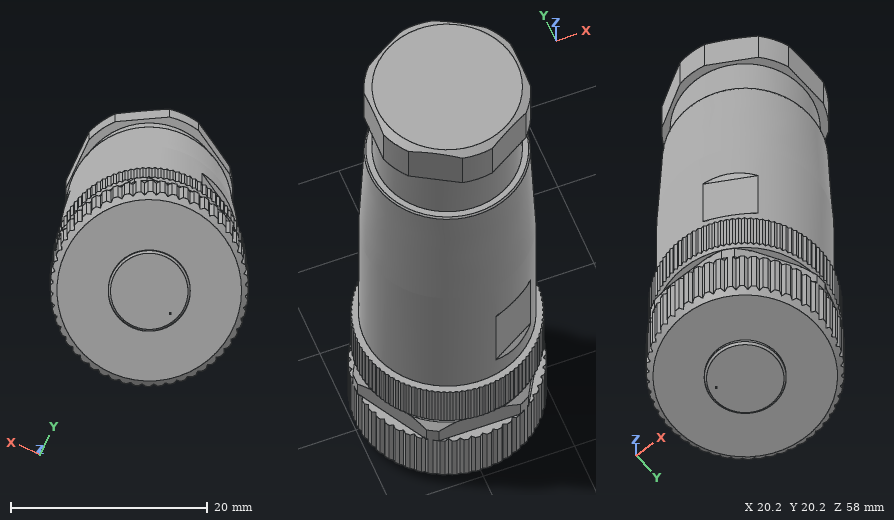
import cadquery as cq
import math

TOTAL_LENGTH = 58.0

PLUG_BOTTOM = 0.2
NUT_BOTTOM = 0.75
HEX_BOTTOM = 7.7
NUT_TOP = 10.15
RING_BOTTOM = 10.75
RING_TOP = 16.3
TAPER_START = 32.55
BODY_TOP = 46.5
CAP_BOTTOM = 53.0

PLUG_RADIUS = 4.2
NUT_RADIUS = 10.1
COLLAR_RADIUS = 6.85
RING_RADIUS = 9.85
BODY_RADIUS = 9.05
BODY_TOP_RADIUS = 8.45
NECK_RADIUS = 7.65
CAP_RADIUS = 8.5

NUT_HEX_INRADIUS = 9.05
CAP_HEX_INRADIUS = 8.05

PLUG_CHAMFER = 0.25
NUT_CHAMFER = 0.7
RING_CHAMFER = 0.4
BODY_CHAMFER = 0.2
CAP_CHAMFER_WIDTH = 0.85
CAP_CHAMFER_HEIGHT = 0.45

NUT_GROOVES = 52
NUT_GROOVE_DEPTH = 0.3
NUT_GROOVE_WIDTH = 0.7
RING_GROOVES = 100
RING_GROOVE_DEPTH = 0.145

FLAT_DISTANCE = 8.6
FLAT_BOTTOM = 18.95
FLAT_TOP = 26.9
FLAT_ANGLE = 30.0

NUB_RADIUS = 0.085
NUB_X = -2.9
NUB_Y = -1.15


def disc(radius, bottom, top):
    return cq.Workplane("XY").workplane(offset=bottom).circle(radius).extrude(top - bottom)


def hexagon(inradius, bottom, top):
    """Hexagonal prism with two corners on the X axis."""
    corner_diameter = 2 * inradius / math.cos(math.radians(30))
    return cq.Workplane("XY").workplane(offset=bottom).polygon(6, corner_diameter).extrude(top - bottom)


def rim_point(radius, angle):
    return (radius * math.cos(angle), radius * math.sin(angle))


def flat_topped_knurl(radius, bottom, top, grooves, width, depth):
    """Disc with evenly spaced V grooves along the axis and round lands between them."""
    pitch = 2 * math.pi / grooves
    half_groove = width / radius / 2
    outline = cq.Workplane("XY").workplane(offset=bottom).moveTo(*rim_point(radius, half_groove))
    for i in range(grooves):
        start = i * pitch
        end = start + pitch
        land_middle = rim_point(radius, start + pitch / 2)
        land_end = rim_point(radius, end - half_groove)
        outline = outline.threePointArc(land_middle, land_end)
        outline = outline.lineTo(*rim_point(radius - depth, end))
        if i < grooves - 1:
            outline = outline.lineTo(*rim_point(radius, end + half_groove))
    return outline.close().extrude(top - bottom)


def sharp_knurl(radius, bottom, top, grooves, depth):
    """Disc with V grooves along the axis that meet in sharp ridges."""
    pitch = 2 * math.pi / grooves
    points = []
    for i in range(grooves):
        points.append(rim_point(radius, i * pitch))
        points.append(rim_point(radius - depth, (i + 0.5) * pitch))
    return cq.Workplane("XY").workplane(offset=bottom).polyline(points).close().extrude(top - bottom)


def make_plug():
    return disc(PLUG_RADIUS, PLUG_BOTTOM, NUT_BOTTOM).faces("<Z").chamfer(PLUG_CHAMFER)


def make_nub():
    return disc(NUB_RADIUS, 0, NUT_BOTTOM).translate((NUB_X, NUB_Y, 0))


def make_coupling_nut():
    knurl = flat_topped_knurl(
        NUT_RADIUS, NUT_BOTTOM, HEX_BOTTOM, NUT_GROOVES, NUT_GROOVE_WIDTH, NUT_GROOVE_DEPTH
    )
    chamfered = disc(NUT_RADIUS, NUT_BOTTOM, HEX_BOTTOM).faces("<Z").chamfer(NUT_CHAMFER)
    knurl = knurl.intersect(chamfered)
    hex_limit = disc(NUT_RADIUS, HEX_BOTTOM, NUT_TOP).faces(">Z").chamfer(NUT_CHAMFER)
    wrench_hex = hexagon(NUT_HEX_INRADIUS, HEX_BOTTOM, NUT_TOP).intersect(hex_limit)
    return knurl.union(wrench_hex)


def make_ring():
    knurl = sharp_knurl(RING_RADIUS, RING_BOTTOM, RING_TOP, RING_GROOVES, RING_GROOVE_DEPTH)
    chamfered = disc(RING_RADIUS, RING_BOTTOM, RING_TOP).faces("<Z").chamfer(RING_CHAMFER)
    return knurl.intersect(chamfered)


def make_flat_cutter():
    """Block with ends sloping at 45 degrees that leaves one wrench flat facing -Y."""
    depth = BODY_RADIUS
    profile = [
        (-FLAT_DISTANCE, FLAT_BOTTOM),
        (-FLAT_DISTANCE, FLAT_TOP),
        (-FLAT_DISTANCE - depth, FLAT_TOP + depth),
        (-FLAT_DISTANCE - depth, FLAT_BOTTOM - depth),
    ]
    return cq.Workplane("YZ").polyline(profile).close().extrude(BODY_RADIUS, both=True)


def make_body():
    half_profile = [
        (0, RING_TOP),
        (BODY_RADIUS, RING_TOP),
        (BODY_RADIUS, TAPER_START),
        (BODY_TOP_RADIUS, BODY_TOP),
        (0, BODY_TOP),
    ]
    body = cq.Workplane("XZ").polyline(half_profile).close().revolve(360, (0, 0), (0, 1))
    body = body.faces(">Z").chamfer(BODY_CHAMFER)
    for angle in (FLAT_ANGLE, FLAT_ANGLE + 180):
        body = body.cut(make_flat_cutter().rotate((0, 0, 0), (0, 0, 1), angle))
    return body


def make_cap():
    rounded = disc(CAP_RADIUS, CAP_BOTTOM, TOTAL_LENGTH)
    rounded = rounded.faces(">Z").chamfer(CAP_CHAMFER_HEIGHT, CAP_CHAMFER_WIDTH)
    corners_on_y = hexagon(CAP_HEX_INRADIUS, CAP_BOTTOM, TOTAL_LENGTH).rotate((0, 0, 0), (0, 0, 1), 30)
    return rounded.intersect(corners_on_y)


result = (
    make_nub()
    .union(make_plug())
    .union(make_coupling_nut())
    .union(disc(COLLAR_RADIUS, NUT_TOP, RING_BOTTOM))
    .union(make_ring())
    .union(make_body())
    .union(disc(NECK_RADIUS, BODY_TOP, CAP_BOTTOM))
    .union(make_cap())
)